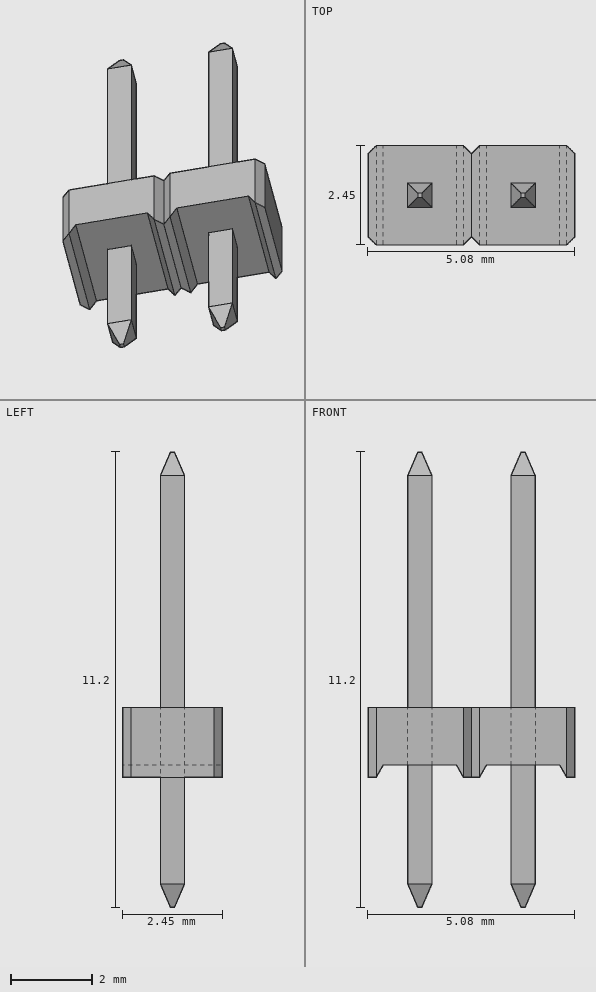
import cadquery as cq

pitch = 2.54
positions = 2

cell_depth = 2.45
cell_height = 1.72
corner_chamfer = 0.2
channel_height = 0.3
channel_bottom_width = pitch - 2 * corner_chamfer
channel_top_width = 1.8

pin_side = 0.6
pin_length = 11.2
pin_below_housing = 3.2
tip_length = 0.58
tip_flat = 0.1


def make_cell(x):
    """Block with chamfered upright corners, an underside channel along Y and a pin hole."""
    block = (
        cq.Workplane("XY")
        .rect(pitch, cell_depth)
        .extrude(cell_height)
        .edges("|Z")
        .chamfer(corner_chamfer)
    )
    channel = (
        cq.Workplane("XZ")
        .moveTo(-channel_bottom_width / 2, 0)
        .lineTo(channel_bottom_width / 2, 0)
        .lineTo(channel_top_width / 2, channel_height)
        .lineTo(-channel_top_width / 2, channel_height)
        .close()
        .extrude(cell_depth / 2, both=True)
    )
    pin_hole = cq.Workplane("XY").rect(pin_side, pin_side).extrude(cell_height)
    return block.cut(channel).cut(pin_hole).translate((x, 0, 0))


def make_tip(base_z, direction):
    """Tapered tip from the full pin section at base_z; direction is +1 up or -1 down."""
    return (
        cq.Workplane("XY", origin=(0, 0, base_z))
        .rect(pin_side, pin_side)
        .workplane(offset=direction * tip_length)
        .rect(tip_flat, tip_flat)
        .loft(ruled=True)
    )


def make_pin(x):
    """Straight square shank running through the cell, with a tip at each end."""
    shank_bottom = -pin_below_housing + tip_length
    shank_length = pin_length - 2 * tip_length
    shank = (
        cq.Workplane("XY", origin=(0, 0, shank_bottom))
        .rect(pin_side, pin_side)
        .extrude(shank_length)
    )
    upper_tip = make_tip(shank_bottom + shank_length, 1)
    lower_tip = make_tip(shank_bottom, -1)
    return shank.union(upper_tip).union(lower_tip).translate((x, 0, 0))


bodies = []
for index in range(positions):
    position_x = (index - (positions - 1) / 2) * pitch
    bodies.append(make_cell(position_x).solids().val())
    bodies.append(make_pin(position_x).solids().val())

result = cq.Compound.makeCompound(bodies)